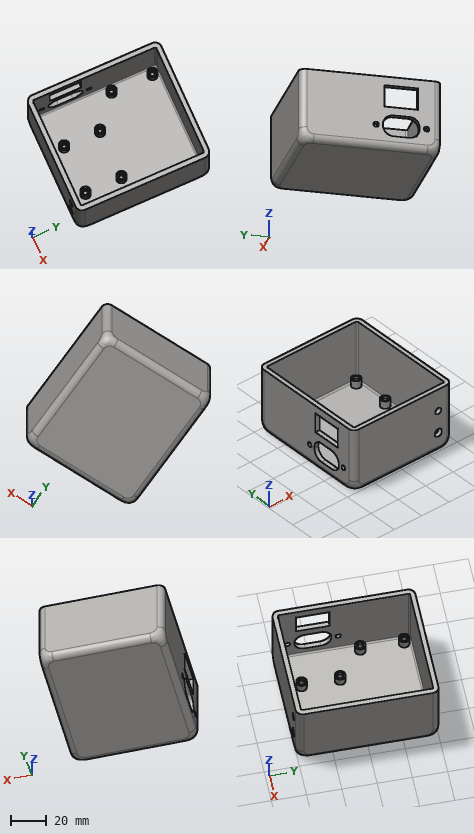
import cadquery as cq
import math

length_x = 72.0
length_y = 81.0
height = 43.0
wall = 3.0
outer_radius = 4.0
inner_radius = outer_radius - wall

blend_depth_ratio = 0.55
blend_steps = (0.25, 0.5, 0.75)

post_diameter = 6.0
post_height = 5.0
bore_mouth_diameter = 4.1
bore_diameter = 3.0
bore_taper_depth = 1.0
rear_post_xs = (-28.35, 28.8)
rear_post_ys = (8.4, 33.3)
front_post_xs = (-10.45, 18.6)
front_post_ys = (-28.4, -6.6)

front_hole_x = 26.0
upper_hole_diameter = 4.1
upper_hole_z = 28.0
lower_hole_diameter = 5.2
lower_hole_z = 13.05

opening_y = -17.5
window_width = 19.0
window_height = 13.0
window_z = 31.3
socket_width = 20.9
socket_height = 12.7
socket_corner_radius = 6.0
socket_z = 13.5
socket_screw_diameter = 3.0
socket_screw_spacing = 28.8


def turned(point, turn):
    """Point with its coordinates moved on by a number of axes, X to Y to Z to X."""
    return cq.Vector(*(point[(axis - turn) % 3] for axis in range(3)))


def quadratic_point(start, control, end, t):
    """Point at parameter t on the quadratic curve steered by a control point."""
    return start * (1 - t) ** 2 + control * (2 * t * (1 - t)) + end * t**2


def planar_face(arc, outline):
    """Flat face bounded by an arc and the straight lines through a list of points."""
    lines = [cq.Edge.makeLine(start, end) for start, end in zip(outline, outline[1:])]
    return cq.Face.makeFromWires(cq.Wire.assembleEdges([arc] + lines))


def blended_corner(radius):
    """Cube of two radii at the origin whose outer corner is one smooth six-sided blend.

    The blend meets each of the three outer flats, and each of the three edge roundings, in an arc.
    """
    reach = 2 * radius
    edge_mid = radius * (1 - math.sqrt(0.5))
    flat_mid = reach - radius * math.sqrt(0.5)
    crown = blend_depth_ratio * radius
    crown_point = cq.Vector(crown, crown, crown)

    flat_mid_point = (flat_mid, flat_mid, 0)
    flat_control = (1.5 * crown, 1.5 * crown, 0)
    edge_mid_point = (reach, edge_mid, edge_mid)
    edge_control = (3 * crown - 2 * edge_mid, edge_mid, edge_mid)
    guide_curves = ((flat_mid_point, flat_control), (edge_mid_point, edge_control))

    blend_points = [crown_point]
    blend_edges = []
    waste_faces = []
    for turn in range(3):
        for start, control in guide_curves:
            for t in blend_steps:
                blend_points.append(
                    quadratic_point(turned(start, turn), turned(control, turn), crown_point, t)
                )

        corner = turned((0, 0, 0), turn)
        this_end = turned((reach, 0, 0), turn)
        next_end = turned((0, reach, 0), turn)
        arcs_meet = turned((reach, radius, 0), turn)
        flat_arc_end = turned((radius, reach, 0), turn)
        edge_arc_end = turned((reach, 0, radius), turn)
        flat_arc = cq.Edge.makeThreePointArc(arcs_meet, turned(flat_mid_point, turn), flat_arc_end)
        edge_arc = cq.Edge.makeThreePointArc(arcs_meet, turned(edge_mid_point, turn), edge_arc_end)
        blend_edges += [flat_arc, edge_arc]
        waste_faces.append(
            planar_face(flat_arc, [flat_arc_end, next_end, corner, this_end, arcs_meet])
        )
        waste_faces.append(planar_face(edge_arc, [edge_arc_end, this_end, arcs_meet]))

    waste_faces.append(cq.Face.makeNSidedSurface(blend_edges, blend_points))
    waste = cq.Solid.makeSolid(cq.Shell.makeShell(waste_faces))
    cube = cq.Solid.makeBox(reach, reach, reach)
    return cq.Workplane("XY").add(cube.cut(waste))


def at_four_corners(body):
    """Copies of a body mirrored across the X and Y centre planes."""
    pair = [body, body.mirror("YZ")]
    return pair + [copy.mirror("XZ") for copy in pair]


def rounded_block(size_x, size_y, size_z, base_z, radius):
    """Block with rounded vertical and bottom edges, blended corners and a sharp-edged top."""
    block = cq.Workplane("XY").workplane(offset=base_z).rect(size_x, size_y).extrude(size_z)
    block = block.edges("|Z or <Z").fillet(radius)

    corner_position = (-size_x / 2, -size_y / 2, base_z)
    reach = 2 * radius
    cube = cq.Workplane("XY").box(reach, reach, reach, centered=False).translate(corner_position)
    blend = blended_corner(radius).translate(corner_position)
    for corner_cube, corner_blend in zip(at_four_corners(cube), at_four_corners(blend)):
        block = block.cut(corner_cube).union(corner_blend)
    return block


def make_case():
    """Open-topped tray with walls and floor of equal thickness."""
    outside = rounded_block(length_x, length_y, height, 0, outer_radius)
    cavity = rounded_block(
        length_x - 2 * wall, length_y - 2 * wall, height - wall, wall, inner_radius
    )
    return outside.cut(cavity)


def make_post(x, y):
    """Post with a blind bore that reaches the floor and tapers at its mouth."""
    mouth_radius = bore_mouth_diameter / 2
    bore_radius = bore_diameter / 2
    taper_z = post_height - bore_taper_depth
    profile = (
        cq.Workplane("XZ")
        .moveTo(bore_radius, 0)
        .lineTo(post_diameter / 2, 0)
        .lineTo(post_diameter / 2, post_height)
        .lineTo(mouth_radius, post_height)
        .lineTo(bore_radius, taper_z)
        .close()
    )
    return profile.revolve(360, (0, 0, 0), (0, 1, 0)).translate((x, y, wall))


def front_wall_hole(x, z, diameter):
    """Cutter for a round hole through the -Y wall."""
    plane = cq.Workplane("XZ", origin=(x, -length_y / 2, z))
    return plane.circle(diameter / 2).extrude(-wall)


def left_wall_plane(z):
    """Sketch plane on the -X face at the openings' shared Y, facing into the case."""
    return cq.Workplane("YZ", origin=(-length_x / 2, opening_y, z))


result = make_case()

for post_xs, post_ys in ((rear_post_xs, rear_post_ys), (front_post_xs, front_post_ys)):
    for post_x in post_xs:
        for post_y in post_ys:
            result = result.union(make_post(post_x, post_y))

result = result.cut(front_wall_hole(front_hole_x, upper_hole_z, upper_hole_diameter))
result = result.cut(front_wall_hole(front_hole_x, lower_hole_z, lower_hole_diameter))

window = left_wall_plane(window_z).rect(window_width, window_height).extrude(wall)
socket = (
    left_wall_plane(socket_z)
    .rect(socket_width, socket_height)
    .extrude(wall)
    .edges("|X")
    .fillet(socket_corner_radius)
)
socket_screws = (
    left_wall_plane(socket_z)
    .pushPoints([(-socket_screw_spacing / 2, 0), (socket_screw_spacing / 2, 0)])
    .circle(socket_screw_diameter / 2)
    .extrude(wall)
)
result = result.cut(window).cut(socket).cut(socket_screws).solids()